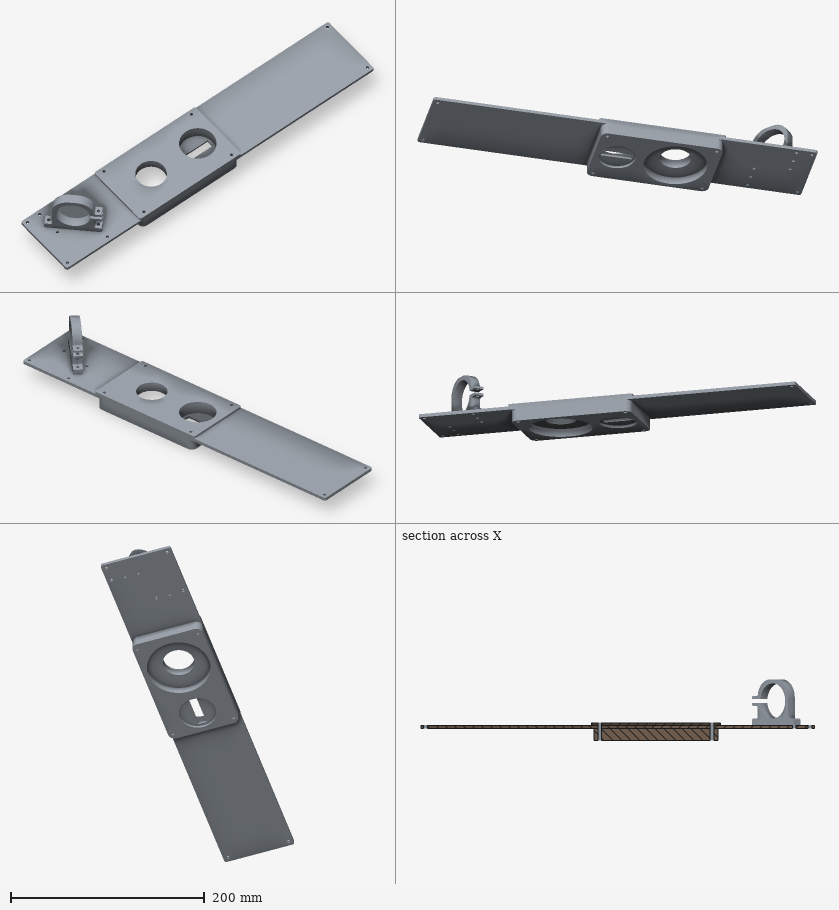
import cadquery as cq
import math

WIDTH = 76.0
LENGTH = 406.5
SEAM_Y = 167.0
PLATE_THICK = 3.5
PLATE_CORNER_R = 2.0
SCREW_DIA = 3.4
SCREW_X = 33.0
PLATE_SCREW_INSET = 5.0

COVER_LENGTH = 133.7
COVER_THICK = 2.5
COVER_SCREW_INSET = 9.0
HOUSING_LENGTH = 129.0
HOUSING_HEIGHT = 12.5
HOUSING_CORNER_R = 7.0
MIDDLE_Y = 164.0

SOCKET_DIA = 38.5
SOCKET_Y = 203.5
SOCKET_FLOOR = 5.0
RECESS_DEPTH = 3.0
SLOT_WIDTH = 8.5
SLOT_LENGTH = 32.5
WINDOW_DIA = 32.5
WINDOW_Y = 142.0
POCKET_DIA = 66.0
POCKET_DEPTH = 8.5

CLAMP_Y = 39.5
CLAMP_ANGLE = 45
CLAMP_WIDTH = 10.0
CLAMP_HEIGHT = 47.0
FOOT_LENGTH = 60.0
FOOT_HEIGHT = 6.5
END_CHAMFER = 1.0
BODY_LENGTH = 44.0
SHOULDER_R = 18.3
BORE_DIA = 36.0
BORE_HEIGHT = 24.8
GAP_HEIGHT = 4.5
LUG_THICK = 3.0
ROOT_FILLET = 2.0
CLAMP_SCREW_OFFSET = 18.3
CLAMP_STEP_X = 14.5

PLATE_BOTTOM = HOUSING_HEIGHT
PLATE_TOP = PLATE_BOTTOM + PLATE_THICK
COVER_TOP = PLATE_TOP + COVER_THICK


def slab(length, middle_y, bottom, thickness):
    """Full-width rectangular block with its middle at x = 0."""
    return cq.Workplane("XY", origin=(0, middle_y, bottom)).box(
        WIDTH, length, thickness, centered=(True, True, False)
    )


def drill(body, points, diameter, bottom=0.0):
    """Cut vertical holes at (x, y) points from height `bottom` up to the cover top."""
    cutter = (
        cq.Workplane("XY", origin=(0, 0, bottom))
        .pushPoints(points)
        .circle(diameter / 2)
        .extrude(COVER_TOP - bottom)
    )
    return body.cut(cutter)


def screw_row(y):
    """Left and right screw position at the given y."""
    return [(-SCREW_X, y), (SCREW_X, y)]


COVER_SCREW_REACH = COVER_LENGTH / 2 - COVER_SCREW_INSET
COVER_SCREWS = screw_row(MIDDLE_Y - COVER_SCREW_REACH) + screw_row(MIDDLE_Y + COVER_SCREW_REACH)
CLAMP_SCREWS = [
    (side * CLAMP_SCREW_OFFSET + step * CLAMP_STEP_X, CLAMP_Y + side * CLAMP_SCREW_OFFSET)
    for side in (-1, 1)
    for step in (-1, 0, 1)
]


def make_short_plate():
    plate = slab(SEAM_Y, SEAM_Y / 2, PLATE_BOTTOM, PLATE_THICK)
    plate = plate.edges("|Z and <Y").fillet(PLATE_CORNER_R)
    near_screws = [point for point in COVER_SCREWS if point[1] < SEAM_Y]
    plate = drill(plate, screw_row(PLATE_SCREW_INSET) + CLAMP_SCREWS + near_screws, SCREW_DIA)
    return drill(plate, [(0, WINDOW_Y)], WINDOW_DIA)


def make_long_plate():
    plate = slab(LENGTH - SEAM_Y, (LENGTH + SEAM_Y) / 2, PLATE_BOTTOM, PLATE_THICK)
    plate = plate.edges("|Z and >Y").fillet(PLATE_CORNER_R)
    near_screws = [point for point in COVER_SCREWS if point[1] > SEAM_Y]
    plate = drill(plate, screw_row(LENGTH - PLATE_SCREW_INSET) + near_screws, SCREW_DIA)
    return drill(plate, [(0, SOCKET_Y)], SOCKET_DIA)


def make_cover():
    cover = slab(COVER_LENGTH, MIDDLE_Y, PLATE_TOP, COVER_THICK)
    cover = cover.edges("|Z").fillet(PLATE_CORNER_R)
    cover = drill(cover, COVER_SCREWS, SCREW_DIA)
    cover = drill(cover, [(0, WINDOW_Y)], WINDOW_DIA)
    return drill(cover, [(0, SOCKET_Y)], SOCKET_DIA)


def make_housing():
    housing = slab(HOUSING_LENGTH, MIDDLE_Y, 0, HOUSING_HEIGHT)
    housing = housing.edges("|Z").fillet(HOUSING_CORNER_R)
    housing = drill(housing, COVER_SCREWS, SCREW_DIA)
    housing = drill(housing, [(0, WINDOW_Y)], WINDOW_DIA)
    housing = drill(housing, [(0, SOCKET_Y)], SOCKET_DIA, bottom=SOCKET_FLOOR)
    slot = cq.Workplane("XY", origin=(0, SOCKET_Y, 0)).rect(SLOT_WIDTH, SLOT_LENGTH).extrude(SOCKET_FLOOR)
    pocket = cq.Workplane("XY", origin=(0, WINDOW_Y, 0)).circle(POCKET_DIA / 2).extrude(POCKET_DEPTH)
    recess = cq.Workplane("XY", origin=(0, SOCKET_Y, 0)).circle(SOCKET_DIA / 2).extrude(RECESS_DEPTH)
    return housing.cut(slot).cut(recess).cut(pocket)


def make_clamp():
    """Clamp built along X at the origin, then turned and set on the short plate."""
    half_foot = FOOT_LENGTH / 2
    half_body = BODY_LENGTH / 2
    half_gap = GAP_HEIGHT / 2

    def block(x_start, x_end, z_start, z_end):
        return cq.Workplane("XY").box(
            x_end - x_start, CLAMP_WIDTH, z_end - z_start, centered=(False, True, False)
        ).translate((x_start, 0, z_start))

    foot = block(-half_foot, half_foot, 0, FOOT_HEIGHT)
    foot = foot.edges("|Y and >Z").chamfer(END_CHAMFER)
    body = block(-half_body, half_body, 0, CLAMP_HEIGHT).edges("|Y and >Z").fillet(SHOULDER_R)
    lug_reach = half_gap + LUG_THICK
    lugs = block(0, half_foot, BORE_HEIGHT - lug_reach, BORE_HEIGHT + lug_reach)
    lugs = lugs.edges("|Y and >X").chamfer(END_CHAMFER)
    clamp = foot.union(body).union(lugs)

    margin = ROOT_FILLET / 2
    roots = cq.selectors.BoxSelector(
        (-half_body - margin, -CLAMP_WIDTH, FOOT_HEIGHT - margin),
        (half_body + margin, CLAMP_WIDTH, BORE_HEIGHT + lug_reach + margin),
    )
    clamp = clamp.edges("|Y").edges(roots).fillet(ROOT_FILLET)

    bore_plane = cq.Workplane("XZ", origin=(0, CLAMP_WIDTH / 2, BORE_HEIGHT))
    bore = bore_plane.circle(BORE_DIA / 2).extrude(CLAMP_WIDTH)
    gap = block(0, half_foot, BORE_HEIGHT - half_gap, BORE_HEIGHT + half_gap)
    screw_reach = math.hypot(CLAMP_SCREW_OFFSET, CLAMP_SCREW_OFFSET)
    screws = (
        cq.Workplane("XY")
        .pushPoints([(-screw_reach, 0), (screw_reach, 0)])
        .circle(SCREW_DIA / 2)
        .extrude(CLAMP_HEIGHT)
    )
    clamp = clamp.cut(bore).cut(gap).cut(screws)
    return clamp.rotate((0, 0, 0), (0, 0, 1), CLAMP_ANGLE).translate((0, CLAMP_Y, PLATE_TOP))


short_plate = make_short_plate()
long_plate = make_long_plate()
cover = make_cover()
housing = make_housing()
clamp = make_clamp()

result = cq.Compound.makeCompound(
    [short_plate.val(), long_plate.val(), cover.val(), housing.val(), clamp.val()]
)